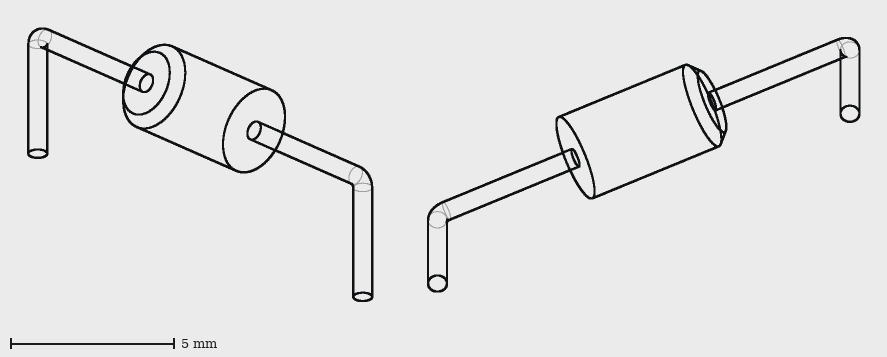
import cadquery as cq
import math

overall_length = 14.63
body_diameter = 2.7
body_length = 4.65
chamfer_size = 0.34
wire_diameter = 0.59
leg_drop = 4.05

wire_radius = wire_diameter / 2
inside_bend_radius = 0.01
bend_radius = wire_radius + inside_bend_radius
bend_offset = bend_radius * math.sin(math.radians(45))
leg_x = overall_length / 2 - wire_radius
body_end_x = body_length / 2


def make_body():
    """Cylindrical body along X, chamfered at its -X end only."""
    return (
        cq.Workplane("YZ", origin=(-body_end_x, 0, 0))
        .circle(body_diameter / 2)
        .extrude(body_length)
        .faces("<X")
        .chamfer(chamfer_size)
    )


def make_lead(side):
    """Wire from one body end (side -1 or +1), bent down into a leg."""
    bend_start = (side * (leg_x - bend_radius), 0)
    bend_middle = (side * (leg_x - bend_radius + bend_offset), bend_offset - bend_radius)
    bend_end = (side * leg_x, -bend_radius)
    centreline = (
        cq.Workplane("XZ")
        .moveTo(side * body_end_x, 0)
        .lineTo(*bend_start)
        .threePointArc(bend_middle, bend_end)
        .lineTo(side * leg_x, -leg_drop)
    )
    return (
        cq.Workplane("YZ", origin=(side * body_end_x, 0, 0))
        .circle(wire_radius)
        .sweep(centreline)
    )


body = make_body()
leads = [make_lead(side) for side in (-1, 1)]

result = cq.Compound.makeCompound([body.val(), *[lead.val() for lead in leads]])